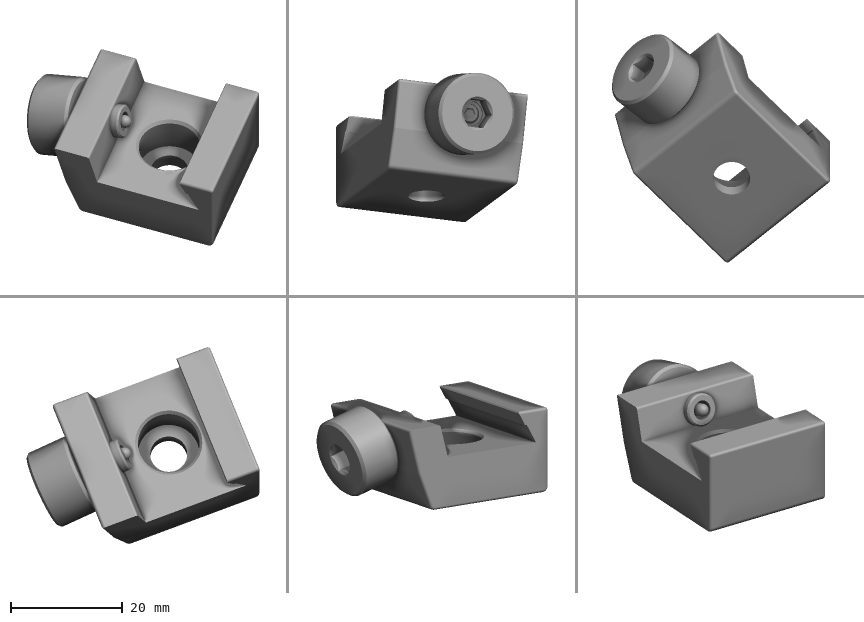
import cadquery as cq
import math


overall_length = 38.5
overall_height = 17.4

block_width = 25.0
block_right = 12.67
block_height = 15.52
floor_height = 9.45
fixed_jaw_root = 9.97
fixed_jaw_angle = 30.0
jaw_step = 0.29
jaw_step_height = 13.0
kink_height = 6.85
bottom_left = -12.65

edge_radius = 0.5
heel_radius = 1.0
jaw_tip_bevel = 0.3

mounting_hole_diameter = 6.62
counterbore_diameter = 11.0
counterbore_depth = 6.78
counterbore_chamfer = 0.5

screw_tilt = 15.0
head_diameter = 14.5
head_length = 7.97
head_chamfer = 0.5
screw_length = 16.15
shank_diameter = 6.0
shank_chamfer = 0.3
socket_across_flats = 5.0
socket_depth = 3.35
socket_mouth_diameter = 6.0
pilot_diameter = 4.62
pilot_step = 0.3
bore_diameter = 3.5

wall_outer = 8.0
wall_thickness = 6.6
wall_inner = wall_outer + wall_thickness

set_screw_start = socket_depth + pilot_step
set_screw_length = 5.0
set_screw_chamfer = 0.35
set_screw_across_flats = 2.0
set_screw_socket_depth = 0.25
set_screw_socket_taper = 45.0
pin_radius = 1.15
pin_start = set_screw_start + set_screw_length

tilt = math.radians(screw_tilt)
face_radius = head_diameter / 2 - head_chamfer
head_face_x = block_right - overall_length + face_radius * math.sin(tilt)
head_face_z = (
    overall_height
    - (head_length - head_chamfer) * math.sin(tilt)
    - head_diameter / 2 * math.cos(tilt)
)
screw_direction = (math.cos(tilt), 0, math.sin(tilt))


def screw_plane(distance):
    """Plane across the screw axis, this far from the outer face of the head."""
    origin = (
        head_face_x + distance * math.cos(tilt),
        0,
        head_face_z + distance * math.sin(tilt),
    )
    return cq.Workplane(cq.Plane(origin, xDir=(0, 1, 0), normal=screw_direction))


def screw_cylinder(start, end, diameter):
    """Cylinder on the screw axis."""
    return screw_plane(start).circle(diameter / 2).extrude(end - start)


def hex_prism(start, depth, across_flats, taper=0):
    """Hexagonal prism on the screw axis, with corners towards -Y and +Y."""
    across_corners = across_flats / math.cos(math.pi / 6)
    return screw_plane(start).polygon(6, across_corners).extrude(depth, taper=taper)


def wall_x(distance, z):
    """X at height z on the plane across the screw axis at this distance."""
    return head_face_x + (distance - (z - head_face_z) * math.sin(tilt)) / math.cos(tilt)


def block_profile():
    """Outline of the block in the XZ plane, before its corners are rounded."""
    lean = math.radians(fixed_jaw_angle)
    step_x = fixed_jaw_root - (jaw_step_height - floor_height) * math.tan(lean)
    ledge_x = step_x - jaw_step * math.cos(lean)
    ledge_z = jaw_step_height - jaw_step * math.sin(lean)
    tip_x = ledge_x - (block_height - ledge_z) * math.tan(lean)
    return [
        (bottom_left, 0),
        (block_right, 0),
        (block_right, block_height),
        (tip_x + jaw_tip_bevel, block_height),
        (tip_x + jaw_tip_bevel * math.sin(lean), block_height - jaw_tip_bevel * math.cos(lean)),
        (ledge_x, ledge_z),
        (step_x, jaw_step_height),
        (fixed_jaw_root, floor_height),
        (wall_x(wall_inner, floor_height), floor_height),
        (wall_x(wall_inner, block_height), block_height),
        (wall_x(wall_outer, block_height), block_height),
        (wall_x(wall_outer, kink_height), kink_height),
    ]


profile = block_profile()
bottom_left_corner, bottom_right_corner, top_right_corner, jaw_tip = profile[:4]
wall_top_inner, wall_top_outer, kink = profile[-3:]


def edge_between(body, a, b, y):
    """Edge of the body nearest to the middle between profile points a and b."""
    middle = ((a[0] + b[0]) / 2, y, (a[1] + b[1]) / 2)
    return body.edges(cq.selectors.NearestToPointSelector(middle)).val()


def cross_edge(body, corner):
    """Edge along Y at a profile corner."""
    return edge_between(body.edges("|Y"), corner, corner, 0)


def round_cross_edges(body, radius, corners):
    """Round the edges along Y at these profile corners."""
    return body.newObject([cross_edge(body, corner) for corner in corners]).fillet(radius)


def round_outer_edges(body, half_width):
    """Round the outline of both end faces and the top of the tilted wall.

    The top of the tilted wall stays sharp on the -Y end.
    """
    outline = [
        (wall_top_outer, kink),
        (kink, bottom_left_corner),
        (bottom_left_corner, bottom_right_corner),
        (bottom_right_corner, top_right_corner),
        (top_right_corner, jaw_tip),
    ]
    edges = [edge_between(body, *ends, y) for ends in outline for y in (-half_width, half_width)]
    edges.append(edge_between(body, wall_top_inner, wall_top_outer, half_width))
    edges.extend(cross_edge(body, corner) for corner in (wall_top_inner, wall_top_outer))
    return body.newObject(edges).fillet(edge_radius)


def make_block():
    half_width = block_width / 2
    body = cq.Workplane("XZ").polyline(profile).close().extrude(half_width, both=True)

    body = round_cross_edges(body, heel_radius, [bottom_left_corner, bottom_right_corner])
    body = round_cross_edges(body, edge_radius, [top_right_corner])
    body = round_outer_edges(body, half_width)

    floor = cq.Workplane("XY", origin=(0, 0, floor_height))
    counterbore = floor.circle(counterbore_diameter / 2).extrude(-counterbore_depth)
    mouth = (
        floor.circle(counterbore_diameter / 2 + counterbore_chamfer)
        .workplane(offset=-counterbore_chamfer)
        .circle(counterbore_diameter / 2)
        .loft()
    )
    mounting_hole = floor.circle(mounting_hole_diameter / 2).extrude(-floor_height)
    screw_hole = screw_cylinder(0, screw_length, shank_diameter)
    return body.cut(counterbore).cut(mouth).cut(mounting_hole).cut(screw_hole)


def make_screw():
    head = screw_cylinder(0, head_length, head_diameter).edges().chamfer(head_chamfer)
    shank = screw_cylinder(head_length, screw_length, shank_diameter)
    shank = shank.faces(">X").edges().chamfer(shank_chamfer)

    socket = hex_prism(0, socket_depth, socket_across_flats)
    mouth_depth = (socket_mouth_diameter - socket_across_flats) / 2
    mouth = (
        screw_plane(0).circle(socket_mouth_diameter / 2)
        .workplane(offset=mouth_depth)
        .circle(socket_across_flats / 2)
        .loft()
    )
    pilot = screw_cylinder(0, set_screw_start, pilot_diameter)
    bore = screw_cylinder(0, screw_length, bore_diameter)
    return head.union(shank).cut(socket).cut(mouth).cut(pilot).cut(bore)


def make_set_screw():
    body = screw_cylinder(set_screw_start, pin_start, bore_diameter)
    body = body.faces("<X").edges().chamfer(set_screw_chamfer)
    socket = hex_prism(
        set_screw_start, set_screw_socket_depth, set_screw_across_flats, set_screw_socket_taper
    )
    return body.cut(socket)


def make_spring_pin():
    stem = screw_cylinder(pin_start, screw_length, 2 * pin_radius)
    nose = screw_plane(screw_length).sphere(pin_radius)
    return stem.union(nose)


block = make_block()
screw = make_screw()
set_screw = make_set_screw()
spring_pin = make_spring_pin()

result = cq.Compound.makeCompound(
    [block.val(), screw.val(), set_screw.val(), spring_pin.val()]
)